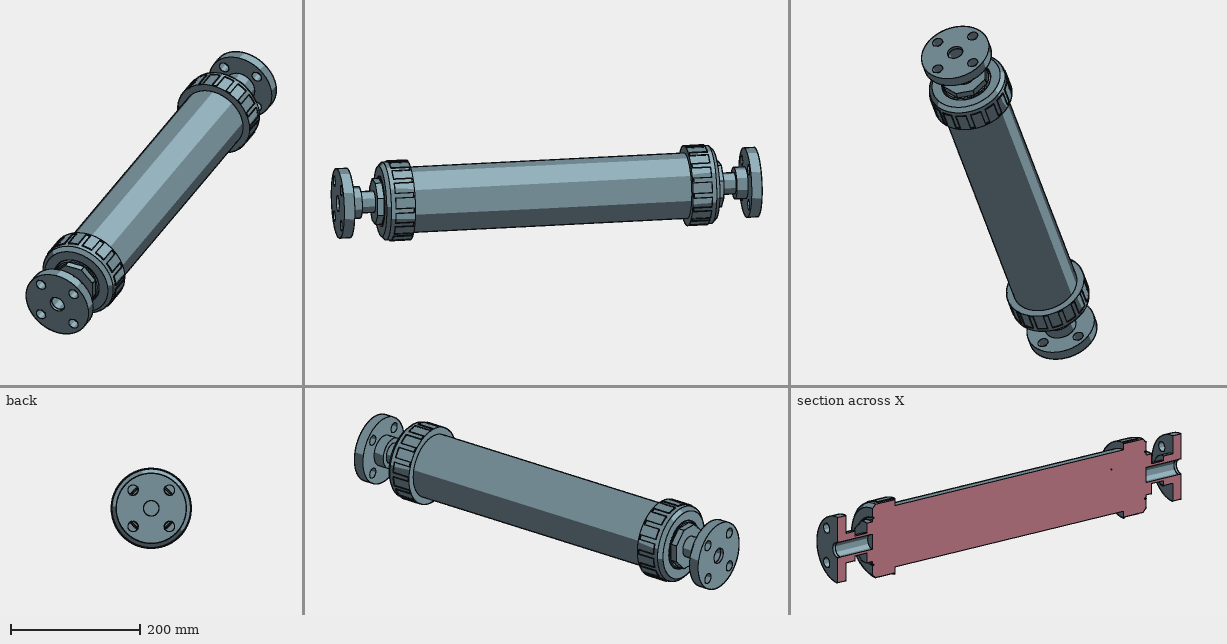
import cadquery as cq
import math

total_length = 657.86
half_length = total_length / 2
full_turn = 360

body_dia = 101.6

nut_inner_y = 218.5
nut_outer_y = 262.2
nut_dia = 121.16
nut_grip_dia = 124.21
nut_grip_length = 30.5
nut_chamfer = 6.1
nut_opening_dia = 78.11

groove_count = 16
groove_width = 7.4
groove_lip = 2.0

plug_dia = 76.45
plug_gap_depth = 3.0
plug_chamfer = 2.0
octagon_flats = 66.0
octagon_sides = 8
octagon_outer_y = 272.5

nozzle_dia = 33.4
hub_dia = 49.3
hub_length = 17.5
flange_dia = 107.95
flange_thickness = 16.5
bolt_hole_dia = 16.0
bolt_circle_dia = 79.4
bolt_count = 4

mouth_dia = 24.31
mouth_depth = 5.0
bore_dia = 23.77

flange_back_y = half_length - flange_thickness
hub_start_y = flange_back_y - hub_length


def cylinder(diameter, start_y, end_y):
    """Cylinder on the Y axis between two stations."""
    plane = cq.Plane(origin=(0, start_y, 0), xDir=(1, 0, 0), normal=(0, 1, 0))
    return cq.Workplane(plane).circle(diameter / 2).extrude(end_y - start_y)


def union_nut():
    """Nut with a chamfered outer end and a grooved grip band."""
    profile = [
        (0, nut_inner_y),
        (nut_dia / 2, nut_inner_y),
        (nut_dia / 2, nut_outer_y - nut_chamfer),
        (nut_dia / 2 - nut_chamfer, nut_outer_y),
        (0, nut_outer_y),
    ]
    shell = cq.Workplane("XY").polyline(profile).close().revolve(full_turn, (0, 0, 0), (0, 1, 0))
    grip_end_y = nut_inner_y + nut_grip_length
    grip = cylinder(nut_grip_dia, nut_inner_y, grip_end_y)
    groove_length = nut_grip_length - groove_lip
    groove = cq.Workplane("XY").box(groove_width, groove_length, nut_grip_dia)
    groove = groove.translate((0, grip_end_y - groove_length / 2, nut_grip_dia / 2))
    for i in range(groove_count):
        grip = grip.cut(groove.rotate((0, 0, 0), (0, 1, 0), i * full_turn / groove_count))
    return shell.union(grip)


def plug():
    """Chamfered plug, flush with the nut face, and the octagonal boss standing on it."""
    gap_floor_y = nut_outer_y - plug_gap_depth
    disc = cylinder(plug_dia, gap_floor_y, nut_outer_y).faces(">Y").chamfer(plug_chamfer)
    plane = cq.Plane(origin=(0, gap_floor_y, 0), xDir=(1, 0, 0), normal=(0, 1, 0))
    octagon = (
        cq.Workplane(plane)
        .polygon(octagon_sides, octagon_flats / math.cos(math.pi / octagon_sides))
        .extrude(octagon_outer_y - gap_floor_y)
        .rotate((0, 0, 0), (0, 1, 0), full_turn / (2 * octagon_sides))
    )
    return disc.union(octagon)


def flange():
    """Nozzle, hub and drilled flange."""
    body = cylinder(nozzle_dia, nut_outer_y, half_length)
    body = body.union(cylinder(hub_dia, hub_start_y, half_length))
    body = body.union(cylinder(flange_dia, flange_back_y, half_length))
    bolt_offset = bolt_circle_dia / 2
    bolt_hole = cylinder(bolt_hole_dia, flange_back_y, half_length).translate((bolt_offset, 0, 0))
    for i in range(bolt_count):
        body = body.cut(bolt_hole.rotate((0, 0, 0), (0, 1, 0), (i + 0.5) * full_turn / bolt_count))
    return body


def end_assembly():
    """Everything at the +Y end of the pipe."""
    nut = union_nut().cut(cylinder(nut_opening_dia, nut_outer_y - plug_gap_depth, nut_outer_y))
    end = nut.union(plug()).union(flange())
    end = end.cut(cylinder(bore_dia, nut_outer_y, half_length))
    return end.cut(cylinder(mouth_dia, half_length - mouth_depth, half_length))


pipe = cylinder(body_dia, -nut_inner_y, nut_inner_y)
far_end = end_assembly()
near_end = far_end.mirror("XZ")
result = pipe.union(far_end).union(near_end)